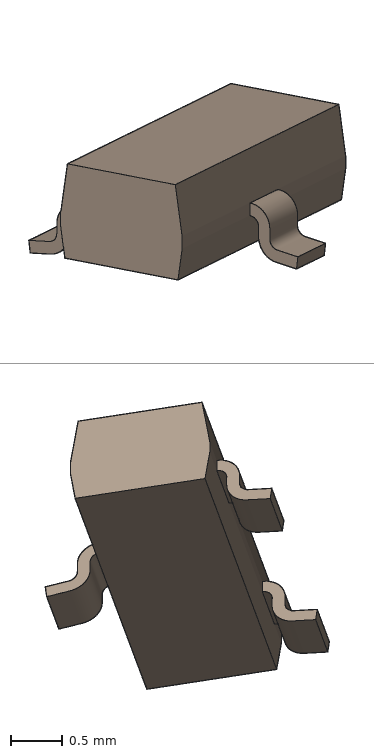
import cadquery as cq
import math

body_length = 3.0
body_half_width = 0.7
top_half_width = 0.62
bottom_half_width = 0.65
body_bottom_z = 0.13
body_top_z = 1.1

lead_thickness = 0.13
lead_width = 0.51
lead_pitch = 0.95
lead_span = 2.5
lead_root_top_z = 0.585
inner_radius = 0.1
toe_angle = math.radians(7.0)

outer_radius = inner_radius + lead_thickness
lead_root_bottom_z = lead_root_top_z - lead_thickness


def make_housing():
    """Prism along Y with tapered sides and a narrow vertical band at the leads."""
    return (
        cq.Workplane("XZ")
        .moveTo(-bottom_half_width, body_bottom_z)
        .lineTo(bottom_half_width, body_bottom_z)
        .lineTo(body_half_width, lead_root_bottom_z)
        .lineTo(body_half_width, lead_root_top_z)
        .lineTo(top_half_width, body_top_z)
        .lineTo(-top_half_width, body_top_z)
        .lineTo(-body_half_width, lead_root_top_z)
        .lineTo(-body_half_width, lead_root_bottom_z)
        .close()
        .extrude(body_length / 2, both=True)
    )


def make_lead(side, center_y):
    """Bent strip leaving the housing on one side: +1 is +X, -1 is -X."""
    shoulder_x = body_half_width
    shoulder_z = lead_root_top_z - outer_radius
    foot_x = shoulder_x + outer_radius + inner_radius

    toe_run = lead_span / 2 - foot_x + inner_radius * math.sin(toe_angle)
    toe_drop = toe_run * math.tan(toe_angle)
    foot_z = outer_radius * math.cos(toe_angle) + toe_drop

    def on_bend(x, z, radius, angle):
        return (side * (x + radius * math.cos(angle)), z + radius * math.sin(angle))

    def on_shoulder(radius, angle):
        return on_bend(shoulder_x, shoulder_z, radius, angle)

    def on_foot(radius, angle):
        return on_bend(foot_x, foot_z, radius, angle)

    shoulder_start = math.pi / 2
    shoulder_middle = math.pi / 4
    foot_start = math.pi
    foot_end = 1.5 * math.pi - toe_angle
    foot_middle = (foot_start + foot_end) / 2

    toe_top = (side * lead_span / 2, foot_z - inner_radius * math.cos(toe_angle) - toe_drop)
    toe_bottom = (side * (lead_span / 2 - lead_thickness * math.sin(toe_angle)), 0)

    return (
        cq.Workplane("XZ", origin=(0, center_y, 0))
        .moveTo(*on_shoulder(outer_radius, shoulder_start))
        .threePointArc(on_shoulder(outer_radius, shoulder_middle), on_shoulder(outer_radius, 0))
        .lineTo(*on_foot(inner_radius, foot_start))
        .threePointArc(on_foot(inner_radius, foot_middle), on_foot(inner_radius, foot_end))
        .lineTo(*toe_top)
        .lineTo(*toe_bottom)
        .lineTo(*on_foot(outer_radius, foot_end))
        .threePointArc(on_foot(outer_radius, foot_middle), on_foot(outer_radius, foot_start))
        .lineTo(*on_shoulder(inner_radius, 0))
        .threePointArc(
            on_shoulder(inner_radius, shoulder_middle), on_shoulder(inner_radius, shoulder_start)
        )
        .close()
        .extrude(lead_width / 2, both=True)
    )


housing = make_housing()
lead_places = [(-1, lead_pitch), (-1, -lead_pitch), (1, 0)]
leads = [make_lead(side, center_y) for side, center_y in lead_places]

result = cq.Compound.makeCompound([housing.val(), *[lead.val() for lead in leads]])